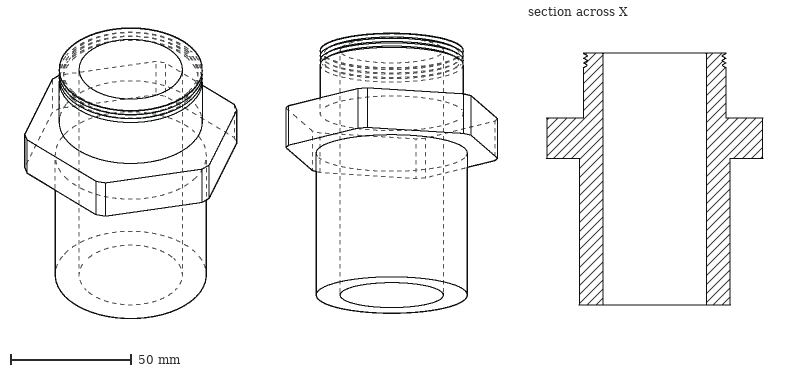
import cadquery as cq
import math

total_height = 105.0
flange_bottom = 61.0
flange_thickness = 17.0
flange_top = flange_bottom + flange_thickness

spigot_diameter = 63.0
neck_diameter = 59.614
bore_diameter = 43.0

across_flats = 80.0
corner_diameter = 90.0
hexagon_sides = 6

groove_count = 3
groove_pitch = 1.95
groove_angle = 60.0
groove_depth = groove_pitch / 2 / math.tan(math.radians(groove_angle / 2))
rim_land = 0.25


def make_cylinder(diameter, bottom, top):
    """Solid cylinder on the Z axis between two heights."""
    return cq.Workplane("XY").workplane(offset=bottom).circle(diameter / 2).extrude(top - bottom)


def make_flange():
    """Hexagon with flats facing +X and -X and its corners turned down to a cylinder."""
    hexagon = (
        cq.Workplane("XY")
        .workplane(offset=flange_bottom)
        .polygon(hexagon_sides, across_flats, circumscribed=True)
        .extrude(flange_thickness)
    )
    return hexagon.intersect(make_cylinder(corner_diameter, flange_bottom, flange_top))


def make_grooved_neck():
    """Neck above the flange, revolved from a profile with V grooves at its top."""
    crest_radius = neck_diameter / 2
    root_radius = crest_radius - groove_depth
    grooves_bottom = total_height - rim_land - groove_count * groove_pitch

    profile = cq.Workplane("XZ").moveTo(0, flange_top).lineTo(crest_radius, flange_top)
    profile = profile.lineTo(crest_radius, grooves_bottom)
    for index in range(groove_count):
        lower_crest = grooves_bottom + index * groove_pitch
        profile = profile.lineTo(root_radius, lower_crest + groove_pitch / 2)
        profile = profile.lineTo(crest_radius, lower_crest + groove_pitch)
    profile = profile.lineTo(crest_radius, total_height).lineTo(0, total_height).close()
    return profile.revolve(360, (0, 0, 0), (0, 1, 0))


spigot = make_cylinder(spigot_diameter, 0, flange_bottom)
bore = make_cylinder(bore_diameter, 0, total_height)
result = spigot.union(make_flange()).union(make_grooved_neck()).cut(bore)